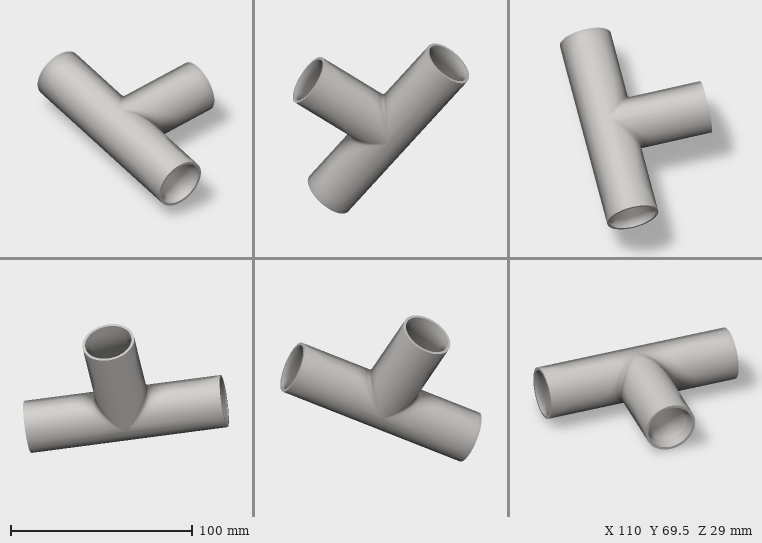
import cadquery as cq

run_length = 110.0
overall_width = 69.5
outer_diameter = 29.0
bore_diameter = 26.0
crotch_radius = 1.8

branch_reach = overall_width - outer_diameter / 2

blend_height = 0.98 * outer_diameter


def crossed_cylinders(diameter):
    """Solid cylinder along X joined at mid-length by an equal one along +Y."""
    run = cq.Workplane("YZ").circle(diameter / 2).extrude(run_length / 2, both=True)
    branch = cq.Workplane("XZ").circle(diameter / 2).extrude(-branch_reach)
    return run.union(branch)


def blended_middle(body):
    """Middle slab of the body, with its elliptical junction edges rounded."""
    slab_side = 2 * run_length
    slab = cq.Workplane().box(slab_side, slab_side, blend_height)
    return body.intersect(slab).edges("%ELLIPSE").fillet(crotch_radius)


outside = crossed_cylinders(outer_diameter)
outside = outside.union(blended_middle(outside))

bores = crossed_cylinders(bore_diameter)

result = outside.cut(bores)